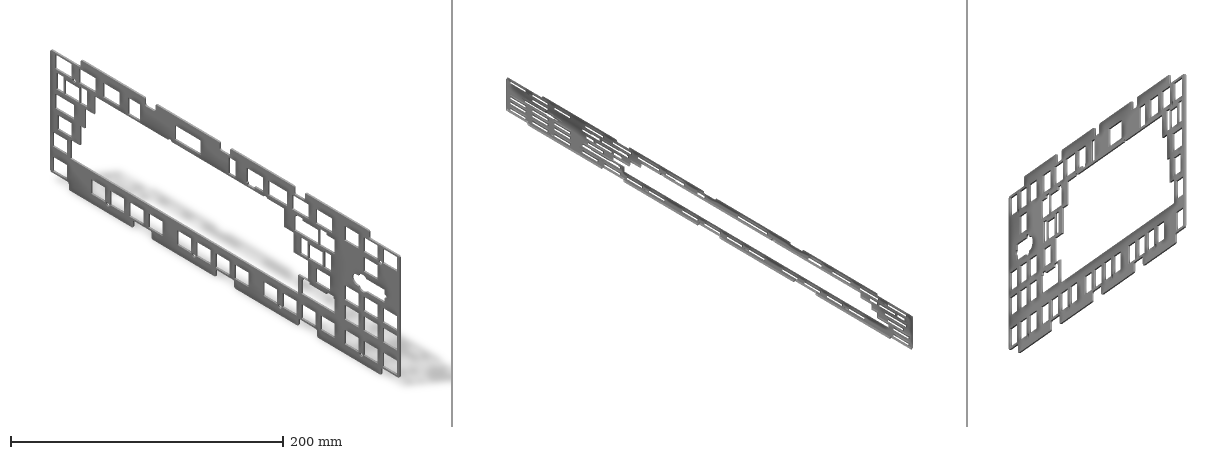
import cadquery as cq

plate_width = 347.7
plate_height = 132.0
thickness = 1.5

steps_per_key = 8
steps_across = 146
step = plate_width / steps_across
row_steps = [0, 8, 16, 24, 32, 42]

switch_size = 14.0
stabilizer_width = 7.0
stabilizer_long_reach = 9.0
stabilizer_short_reach = 7.0
stabilizer_offset = 11.8
mount_diameter = 3.5
mount_offset = 8.0
notch_offset = 1.7

tab_depth = 7.3
tab_length = 64.0
upper_tab_gap = 10.5
upper_tab_start = 30.3
lower_tab_gap = 18.5
lower_tab_start = 18.5
tab_count = 4
edge_radius = 1.5

opening_left_inset = 1.0
opening_right_inset = 0.7
opening_top_inset = 1.5
opening_bottom_inset = 0.7

connector_column = 134
connector_height = 12.5
connector_right = 13.5
nose_diameter = 10.5
nose_offset = 13.2
cross_slot_width = 8.5
cross_slot_height = 16.7
cross_slot_offset = 8.0
tip_diameter = 4.0

body_height = plate_height - 2 * tab_depth
top_row_z = row_steps[-1] * step / 2


def column_x(column):
    """X of a place given in grid steps from the left side of the plate."""
    return column * step - plate_width / 2


def row_z(row):
    """Z of the centre line of a key row, row 0 being the highest."""
    return top_row_z - row_steps[row] * step


def boundary_z(row):
    """Z of the line half a key spacing below a key row."""
    return row_z(row) - steps_per_key * step / 2


def block(left, right, bottom, top):
    """Box through the full thickness, centred on Y = 0."""
    return (
        cq.Workplane("XY")
        .box(right - left, thickness, top - bottom)
        .translate(((left + right) / 2, 0, (bottom + top) / 2))
    )


def disc(x, z, diameter):
    """Round bar along Y through the full thickness."""
    return (
        cq.Workplane("XZ")
        .center(x, z)
        .circle(diameter / 2)
        .extrude(thickness / 2, both=True)
    )


def switch_hole(row, first, last=None):
    """Switch hole, widened to serve every key centre from first to last."""
    last = first if last is None else last
    half = switch_size / 2
    z = row_z(row)
    return block(column_x(first) - half, column_x(last) + half, z - half, z + half)


def stabilizer_slot(row, left_x, right_x, below, above):
    """Stabilizer slot, widened to serve every slot centre from left_x to right_x."""
    half = stabilizer_width / 2
    z = row_z(row)
    return block(left_x - half, right_x + half, z - below, z + above)


def stabilizer_pair(row, key):
    """Two slots, one on each side of a wide key."""
    slots = []
    for side in [-1, 1]:
        x = column_x(key) + side * stabilizer_offset
        slots.append(stabilizer_slot(row, x, x, stabilizer_short_reach, stabilizer_long_reach))
    return slots


def plate():
    half_width = plate_width / 2
    body = block(-half_width, half_width, -body_height / 2, body_height / 2)
    for index in range(tab_count):
        upper_left = upper_tab_start - half_width + index * (tab_length + upper_tab_gap)
        lower_left = lower_tab_start - half_width + index * (tab_length + lower_tab_gap)
        body = body.union(block(upper_left, upper_left + tab_length, 0, plate_height / 2))
        body = body.union(block(lower_left, lower_left + tab_length, -plate_height / 2, 0))
    return body.edges("|Y").fillet(edge_radius)


def central_opening():
    bands = [
        (1, 18, 98),
        (2, 14, 102),
        (3, 12, 108),
        (4, 8, 104),
    ]
    top = boundary_z(0) - opening_top_inset
    bottom = boundary_z(4) + opening_bottom_inset
    opening = None
    for row, left, right in bands:
        band_top = top if row == 1 else boundary_z(row - 1)
        band_bottom = bottom if row == 4 else boundary_z(row)
        band = block(
            column_x(left) + opening_left_inset,
            column_x(right) - opening_right_inset,
            band_bottom,
            band_top,
        )
        opening = band if opening is None else opening.union(band)
    return opening


def key_holes():
    holes = []
    for first, last in [
        (5, 6), (15, 16), (25, 26), (55, 60),
        (85, 86), (94, 96), (104, 105), (114, 115),
    ]:
        holes.append(switch_hole(0, first, last))
    for first, last in [(34, 36), (76, 76), (84, 84)]:
        slot = stabilizer_slot(
            0,
            column_x(first),
            column_x(last),
            stabilizer_long_reach,
            stabilizer_short_reach,
        )
        holes.append(slot)
    holes.append(switch_hole(1, 9))
    holes += stabilizer_pair(1, 9)
    holes.append(switch_hole(1, 105, 109))
    holes.append(switch_hole(1, 116))
    holes += stabilizer_pair(1, 109)
    holes.append(switch_hole(2, 5, 7))
    holes.append(switch_hole(2, 111))
    holes += stabilizer_pair(2, 111)
    holes.append(switch_hole(3, 6))
    holes.append(switch_hole(3, 114))
    holes.append(switch_hole(4, 4))
    holes.append(switch_hole(4, 108, 116))
    holes += stabilizer_pair(4, 112)
    holes.append(switch_hole(5, 4))
    for group_start in [20, 56, 92]:
        for index in range(4):
            holes.append(switch_hole(5, group_start + index * steps_per_key))
    for row in [0, 3, 4, 5]:
        for column in [126, 134, 142]:
            holes.append(switch_hole(row, column))
    holes.append(switch_hole(1, 134))
    return holes


def connector_opening():
    x = column_x(connector_column)
    z = row_z(2)
    nose_x = x - nose_offset
    cross_x = x - cross_slot_offset
    right = x + connector_right
    nose_half = nose_diameter / 2
    body_half = connector_height / 2
    cross_half_width = cross_slot_width / 2
    cross_reach = cross_slot_height / 2 - cross_half_width
    opening = disc(nose_x, z, nose_diameter)
    opening = opening.union(block(nose_x, cross_x, z - nose_half, z + nose_half))
    opening = opening.union(block(cross_x, right, z - body_half, z + body_half))
    cross = block(
        cross_x - cross_half_width, cross_x + cross_half_width, z - cross_reach, z + cross_reach
    )
    opening = opening.union(cross)
    for side in [-1, 1]:
        opening = opening.union(disc(cross_x, z + side * cross_reach, cross_slot_width))
    return opening.union(disc(right, z, tip_diameter))


def mounting_holes():
    holes = []
    for column in [10, 138]:
        holes.append(disc(column_x(column), row_z(0) - mount_offset, mount_diameter))
    for column in [50, 90]:
        holes.append(disc(column_x(column), boundary_z(0) - notch_offset, mount_diameter))
    for column in [24, 60, 96, 130]:
        holes.append(disc(column_x(column), row_z(5) - mount_offset, mount_diameter))
    return holes


openings = [central_opening(), connector_opening()] + key_holes() + mounting_holes()
pierced_plate = plate().val().cut(*[opening.val() for opening in openings])
result = cq.Workplane("XY").newObject([pierced_plate]).clean()